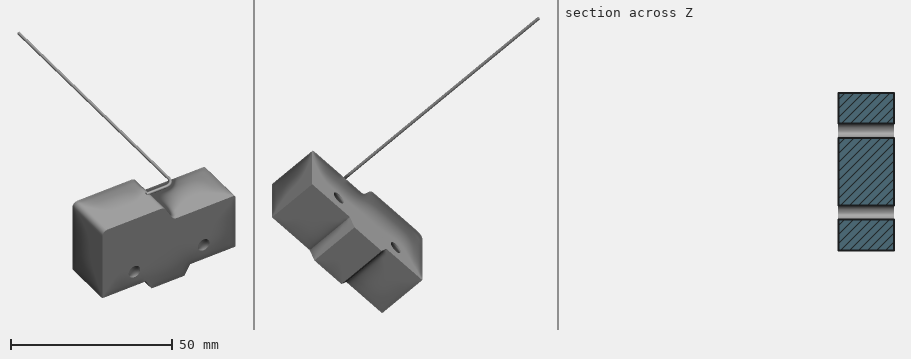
import cadquery as cq
import math

overall_length = 98.75
overall_height = 30.3

body_width = 17.4
body_depth = 49.0
body_top = 29.8
step_top = 23.8
foot_height = 3.7
slope_top_y = 22.7
slope_angle = math.radians(60)
slope_run = (body_top - step_top) / math.tan(slope_angle)
large_radius = 2.0
small_radius = 1.0

foot_center_y = 24.1
foot_bottom_length = 12.0
foot_run = foot_height / math.tan(slope_angle)

hole_diameter = 4.2
hole_spacing = 25.4
hole_center_y = 24.5
hole_z = 9.2

wire_diameter = 1.0
wire_z = overall_height - wire_diameter / 2
wire_root_x = body_width / 2
wire_root_y = 21.6
wire_arm_y = 31.8
wire_bend_radius = 3.0
wire_tip_x = body_width - overall_length


def make_body():
    half_foot = foot_bottom_length / 2
    outline = [
        (0, foot_height),
        (foot_center_y - half_foot - foot_run, foot_height),
        (foot_center_y - half_foot, 0),
        (foot_center_y + half_foot, 0),
        (foot_center_y + half_foot + foot_run, foot_height),
        (body_depth, foot_height),
        (body_depth, step_top),
        (slope_top_y + slope_run, step_top),
        (slope_top_y, body_top),
        (0, body_top),
    ]
    body = cq.Workplane("YZ").polyline(outline).close().extrude(body_width)

    large_round_points = [
        (0, body_top),
        (slope_top_y, body_top),
        (slope_top_y + slope_run, step_top),
    ]
    for y, z in large_round_points:
        edge = cq.selectors.NearestToPointSelector((body_width / 2, y, z))
        body = body.edges("|X").edges(edge).fillet(large_radius)

    return body.edges("|X and >Y").edges(">Z").fillet(small_radius)


def drill_mounting_holes(body):
    holes = (
        cq.Workplane("YZ")
        .pushPoints([(hole_center_y + side * hole_spacing / 2, hole_z) for side in (-1, 1)])
        .circle(hole_diameter / 2)
        .extrude(body_width)
    )
    return body.cut(holes)


def make_wire():
    bend_center = (wire_root_x - wire_bend_radius, wire_arm_y - wire_bend_radius)
    bend_offset = wire_bend_radius * math.sqrt(0.5)
    path = (
        cq.Workplane("XY", origin=(0, 0, wire_z))
        .moveTo(wire_root_x, wire_root_y)
        .lineTo(wire_root_x, bend_center[1])
        .threePointArc(
            (bend_center[0] + bend_offset, bend_center[1] + bend_offset),
            (bend_center[0], wire_arm_y),
        )
        .lineTo(wire_tip_x, wire_arm_y)
    )
    section = cq.Workplane("XZ", origin=(wire_root_x, wire_root_y, wire_z))
    return section.circle(wire_diameter / 2).sweep(path)


result = drill_mounting_holes(make_body()).union(make_wire())